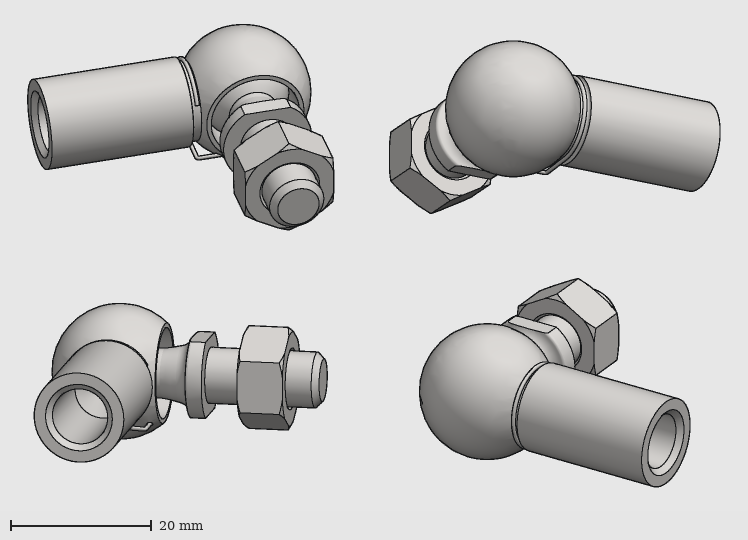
import cadquery as cq
import math


head_diameter = 19.3
ball_diameter = 13.0
mouth_x = ball_diameter / 2
sleeve_diameter = 13.0
sleeve_start = 9.05
sleeve_end = 29.92
thread_diameter = 8.0
bore_chamfer = 0.85
bore_depth = 17.4
drill_point_angle = 118.0

neck_radius = 5.8
groove_start_radius = 6.05
groove_head_fillet = groove_start_radius - neck_radius
groove_sleeve_fillet = 0.47

wire_diameter = 0.6
wire_hole_diameter = 0.7
clip_y = -8.25
clip_radius = neck_radius + wire_diameter / 2
clip_free_end_angle = 28.0
clip_arm_tilt = 2.5
clip_arm_end_x = 5.3
clip_tip_y = -3.15
clip_bend_radius = 0.3

stud_neck_radius = 3.55
stud_flare_start_x = 8.95
stud_flare_start_radius = 4.08
stud_flare_middle = (10.1, 4.75)
stud_flare_end_radius = 6.0
flange_start_x = 10.6
flange_end_x = 13.05
flange_diameter = 13.0
flange_edge_round = flange_diameter / 2 - stud_flare_end_radius
flange_across_flats = 11.1
stud_end_x = 29.4
stud_end_chamfer = 0.95

nut_start_x = 18.2
nut_width = 6.57
nut_across_flats = 13.0
nut_face_diameter = 13.4
nut_chamfer_angle = 30.0
nut_countersink = 0.4

tilt = math.radians(clip_arm_tilt)
arm_start = (-clip_radius * math.sin(tilt), -clip_radius * math.cos(tilt))
arm_end = (clip_arm_end_x, arm_start[1] - (clip_arm_end_x - arm_start[0]) * math.tan(tilt))


def revolve_about_x(profile):
    return profile.close().revolve(360, (0, 0, 0), (1, 0, 0))


def revolve_about_y(profile):
    return profile.close().revolve(360, (0, 0, 0), (0, 1, 0))


def rod_along_y(diameter, start_y, end_y, x, z):
    return (
        cq.Workplane("XZ", origin=(x, start_y, z))
        .circle(diameter / 2)
        .extrude(start_y - end_y)
    )


def make_sleeve():
    """Solid neck and sleeve, with the clip groove between them."""
    sleeve_radius = sleeve_diameter / 2
    groove_start_y = -math.sqrt((head_diameter / 2) ** 2 - groove_start_radius ** 2)
    return revolve_about_y(
        cq.Workplane("XY")
        .lineTo(0, groove_start_y)
        .lineTo(groove_start_radius, groove_start_y)
        .radiusArc((neck_radius, groove_start_y - groove_head_fillet), -groove_head_fillet)
        .lineTo(neck_radius, -sleeve_start + groove_sleeve_fillet)
        .radiusArc((neck_radius + groove_sleeve_fillet, -sleeve_start), -groove_sleeve_fillet)
        .lineTo(sleeve_radius, -sleeve_start)
        .lineTo(sleeve_radius, -sleeve_end)
        .lineTo(0, -sleeve_end)
    )


def make_sleeve_bore():
    """Chamfered blind bore with a conical bottom."""
    bore_radius = thread_diameter / 2
    bottom_y = bore_depth - sleeve_end
    point_length = bore_radius / math.tan(math.radians(drill_point_angle / 2))
    return revolve_about_y(
        cq.Workplane("XY")
        .moveTo(0, -sleeve_end)
        .lineTo(bore_radius + bore_chamfer, -sleeve_end)
        .lineTo(bore_radius, -sleeve_end + bore_chamfer)
        .lineTo(bore_radius, bottom_y)
        .lineTo(0, bottom_y + point_length)
    )


def make_housing():
    head = cq.Workplane("XY").sphere(head_diameter / 2)
    beyond_mouth = (
        cq.Workplane("YZ", origin=(mouth_x, 0, 0))
        .rect(head_diameter, head_diameter)
        .extrude(head_diameter)
    )
    socket = cq.Workplane("XY").sphere(ball_diameter / 2)
    mouth = cq.Workplane("YZ").circle(ball_diameter / 2).extrude(mouth_x)
    wire_hole = rod_along_y(wire_hole_diameter, clip_tip_y, clip_y, *arm_end)
    wire_hole = wire_hole.intersect(head)
    return (
        head.cut(beyond_mouth)
        .union(make_sleeve())
        .cut(socket)
        .cut(mouth)
        .cut(make_sleeve_bore())
        .cut(wire_hole)
    )


def make_stud():
    ball_radius = ball_diameter / 2
    flange_radius = flange_diameter / 2
    thread_radius = thread_diameter / 2
    neck_start_x = math.sqrt(ball_radius ** 2 - stud_neck_radius ** 2)
    stud = revolve_about_x(
        cq.Workplane("XY")
        .moveTo(-ball_radius, 0)
        .threePointArc((0, ball_radius), (neck_start_x, stud_neck_radius))
        .lineTo(mouth_x, stud_neck_radius)
        .lineTo(stud_flare_start_x, stud_flare_start_radius)
        .threePointArc(stud_flare_middle, (flange_start_x, stud_flare_end_radius))
        .radiusArc((flange_start_x + flange_edge_round, flange_radius), flange_edge_round)
        .lineTo(flange_end_x, flange_radius)
        .lineTo(flange_end_x, thread_radius)
        .lineTo(stud_end_x - stud_end_chamfer, thread_radius)
        .lineTo(stud_end_x, thread_radius - stud_end_chamfer)
        .lineTo(stud_end_x, 0)
    )
    between_flats = (
        cq.Workplane("YZ", origin=(mouth_x, 0, 0))
        .rect(flange_diameter, flange_across_flats)
        .extrude(stud_end_x - mouth_x)
    )
    ball_side = (
        cq.Workplane("YZ", origin=(-ball_radius, 0, 0))
        .circle(ball_diameter)
        .extrude(ball_radius + mouth_x)
    )
    return stud.intersect(between_flats.union(ball_side))


def make_nut():
    """Hexagon with two corners on the Z axis and both faces chamfered, bore countersunk."""
    corner_radius = nut_across_flats / math.sqrt(3)
    face_radius = nut_face_diameter / 2
    nut_end_x = nut_start_x + nut_width
    chamfer_length = (corner_radius - face_radius) * math.tan(math.radians(nut_chamfer_angle))
    hexagon = (
        cq.Workplane("YZ", origin=(nut_start_x, 0, 0))
        .transformed(rotate=(0, 0, 90))
        .polygon(6, 2 * corner_radius)
        .circle(thread_diameter / 2)
        .extrude(nut_width)
        .faces("<X or >X")
        .edges("%CIRCLE")
        .chamfer(nut_countersink)
    )
    chamfer_envelope = revolve_about_x(
        cq.Workplane("XY")
        .moveTo(nut_start_x, 0)
        .lineTo(nut_start_x, face_radius)
        .lineTo(nut_start_x + chamfer_length, corner_radius)
        .lineTo(nut_end_x - chamfer_length, corner_radius)
        .lineTo(nut_end_x, face_radius)
        .lineTo(nut_end_x, 0)
    )
    return hexagon.intersect(chamfer_envelope)


def make_clip():
    """Wire round the neck, then a straight arm with its tip bent into the head."""
    free_angle = math.radians(clip_free_end_angle)
    free_end = cq.Vector(clip_radius * math.cos(free_angle), clip_y, clip_radius * math.sin(free_angle))
    far_side = cq.Vector(-clip_radius, clip_y, 0)
    arc_end = cq.Vector(arm_start[0], clip_y, arm_start[1])
    corner = cq.Vector(arm_end[0], clip_y, arm_end[1])
    arm_direction = (corner - arc_end).normalized()
    tip_direction = cq.Vector(0, 1, 0)
    bend_start = corner - arm_direction * clip_bend_radius
    bend_end = corner + tip_direction * clip_bend_radius
    tip = cq.Vector(arm_end[0], clip_tip_y, arm_end[1])
    path = cq.Wire.assembleEdges([
        cq.Edge.makeThreePointArc(free_end, far_side, arc_end),
        cq.Edge.makeLine(arc_end, bend_start),
        cq.Edge.makeTangentArc(bend_start, arm_direction, bend_end),
        cq.Edge.makeLine(bend_end, tip),
    ])
    start_direction = cq.Vector(-math.sin(free_angle), 0, math.cos(free_angle))
    section = cq.Plane(origin=free_end, xDir=(0, 1, 0), normal=start_direction)
    return cq.Workplane(section).circle(wire_diameter / 2).sweep(cq.Workplane(path))


housing = make_housing()
stud = make_stud()
nut = make_nut()
clip = make_clip()

result = cq.Compound.makeCompound([
    housing.solids().val(),
    stud.solids().val(),
    nut.solids().val(),
    clip.val(),
])